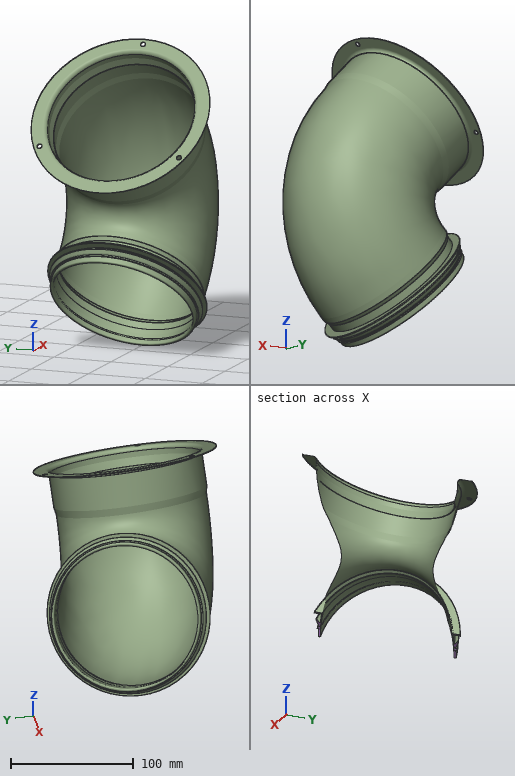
import cadquery as cq
import math

BEND_RADIUS = 77.7
BEND_ANGLE = 90
WALL = 0.5
DUCT_RADIUS = 124.0 / 2
DUCT_BORE = DUCT_RADIUS - WALL

SOCKET_RADIUS = 126.3 / 2
SOCKET_BORE = SOCKET_RADIUS - WALL
SOCKET_CONE_HEIGHT = 6.0
SOCKET_END = 33.9

FLANGE_RADIUS = 151.0 / 2
FLANGE_FACE = 37.5
SLEEVE_BORE = 124.0 / 2
SLEEVE_CONE_START = 29.0
SLEEVE_END = 22.5
SLEEVE_TIP_BORE = 120.5 / 2
FLARE_RADIUS = 3.5
FLARE_START = FLANGE_FACE - FLARE_RADIUS
HOLE_DIAMETER = 4.0
HOLE_CIRCLE_RADIUS = 70.5
HOLE_COUNT = 3

SPIGOT_RADIUS = 120.5 / 2
SPIGOT_BORE = 119.2 / 2
SHOULDER_HEIGHT = 5
SPIGOT_START = 8.5
SPIGOT_END = 30.3
RIM_RADIUS = 123.0 / 2
RIM_START = 25.2
RIM_BORE = 118.2 / 2
RIM_ROUND = 1.0
TAPER_START = 20.5

STRAP_RADIUS = 125.3 / 2
STRAP_START = 24.0

GASKET_START = 15.0
GASKET_RADIUS = 122.0 / 2
LONG_LIP_RADIUS = 134.5 / 2
LIP_THICKNESS = 1.0
SHORT_LIP_RADIUS = 129.5 / 2
SHORT_LIP_TIP = 19.0
SHORT_LIP_ROOT = 21.5
GASKET_CROWN_RADIUS = 62.7
GASKET_CROWN = 22.7


def end_plane(side):
    """Plane through an end of the bend: side +1 is the upper end, -1 the lower."""
    half_angle = math.radians(BEND_ANGLE / 2)
    across = cq.Vector(math.cos(half_angle), 0, side * math.sin(half_angle))
    return cq.Plane(origin=across * BEND_RADIUS, xDir=across, normal=(0, -side, 0))


UPPER_END = end_plane(1)
LOWER_END = end_plane(-1)


def turned(profile):
    """Revolve a closed profile about the axis of its duct end."""
    return profile.close().revolve(360, (0, 0), (0, 1))


def make_bend():
    return (
        cq.Workplane("XY")
        .center(BEND_RADIUS, 0)
        .circle(DUCT_RADIUS)
        .circle(DUCT_BORE)
        .revolve(BEND_ANGLE, (-BEND_RADIUS, 0), (-BEND_RADIUS, 1))
        .rotate((0, 0, 0), (0, 1, 0), -BEND_ANGLE / 2)
    )


def make_socket():
    return turned(
        cq.Workplane(UPPER_END)
        .moveTo(DUCT_BORE, 0)
        .lineTo(DUCT_RADIUS, 0)
        .lineTo(SOCKET_RADIUS, SOCKET_CONE_HEIGHT)
        .lineTo(SOCKET_RADIUS, SOCKET_END)
        .lineTo(SOCKET_BORE, SOCKET_END)
        .lineTo(SOCKET_BORE, SOCKET_CONE_HEIGHT)
    )


def make_spigot():
    spigot = turned(
        cq.Workplane(LOWER_END)
        .moveTo(DUCT_BORE, 0)
        .lineTo(DUCT_RADIUS, 0)
        .lineTo(DUCT_RADIUS, SHOULDER_HEIGHT)
        .lineTo(SPIGOT_RADIUS, SPIGOT_START)
        .lineTo(SPIGOT_RADIUS, RIM_START)
        .lineTo(RIM_RADIUS, RIM_START)
        .lineTo(RIM_RADIUS, SPIGOT_END)
        .lineTo(RIM_BORE, SPIGOT_END)
        .lineTo(SPIGOT_BORE, TAPER_START)
        .lineTo(SPIGOT_BORE, SPIGOT_START)
        .lineTo(DUCT_BORE, SHOULDER_HEIGHT)
    )
    end_edges = spigot.faces(cq.selectors.DirectionMinMaxSelector(LOWER_END.yDir)).edges()
    return end_edges.fillet(RIM_ROUND)


def make_elbow():
    return make_bend().union(make_socket()).union(make_spigot())


def make_flange():
    flare_centre = SLEEVE_BORE + FLARE_RADIUS
    inner_mid = FLARE_RADIUS * math.sqrt(0.5)
    outer_flare = flare_centre - SOCKET_BORE
    outer_mid = outer_flare * math.sqrt(0.5)
    flange_back = FLARE_START + outer_flare
    ring = turned(
        cq.Workplane(UPPER_END)
        .moveTo(SLEEVE_TIP_BORE, SLEEVE_END)
        .lineTo(SLEEVE_TIP_BORE + WALL, SLEEVE_END)
        .lineTo(SOCKET_BORE, SLEEVE_CONE_START)
        .lineTo(SOCKET_BORE, FLARE_START)
        .threePointArc((flare_centre - outer_mid, FLARE_START + outer_mid), (flare_centre, flange_back))
        .lineTo(FLANGE_RADIUS, flange_back)
        .lineTo(FLANGE_RADIUS, FLANGE_FACE)
        .lineTo(flare_centre, FLANGE_FACE)
        .threePointArc((flare_centre - inner_mid, FLARE_START + inner_mid), (SLEEVE_BORE, FLARE_START))
        .lineTo(SLEEVE_BORE, SLEEVE_CONE_START)
    )
    face_plane = cq.Plane(
        origin=UPPER_END.toWorldCoords((0, FLANGE_FACE)),
        xDir=UPPER_END.xDir,
        normal=UPPER_END.yDir,
    )
    holes = (
        cq.Workplane(face_plane)
        .polarArray(HOLE_CIRCLE_RADIUS, 0, 360, HOLE_COUNT)
        .circle(HOLE_DIAMETER / 2)
        .extrude(flange_back - FLANGE_FACE)
    )
    return ring.cut(holes)


def make_gasket():
    return turned(
        cq.Workplane(LOWER_END)
        .moveTo(SPIGOT_RADIUS, GASKET_START)
        .lineTo(LONG_LIP_RADIUS, GASKET_START)
        .lineTo(LONG_LIP_RADIUS, GASKET_START + LIP_THICKNESS)
        .lineTo(GASKET_RADIUS, GASKET_START + LIP_THICKNESS)
        .lineTo(GASKET_RADIUS, SHORT_LIP_ROOT)
        .lineTo(SHORT_LIP_RADIUS, SHORT_LIP_TIP)
        .lineTo(SHORT_LIP_RADIUS, SHORT_LIP_TIP + LIP_THICKNESS)
        .lineTo(GASKET_CROWN_RADIUS, GASKET_CROWN)
        .lineTo(GASKET_RADIUS, STRAP_START)
        .lineTo(SPIGOT_RADIUS, STRAP_START)
    )


def make_strap():
    return turned(
        cq.Workplane(LOWER_END)
        .moveTo(SPIGOT_RADIUS, STRAP_START)
        .lineTo(STRAP_RADIUS, STRAP_START)
        .lineTo(STRAP_RADIUS, RIM_START)
        .lineTo(SPIGOT_RADIUS, RIM_START)
    )


elbow = make_elbow()
flange = make_flange()
gasket = make_gasket()
strap = make_strap()
result = cq.Compound.makeCompound([elbow.val(), flange.val(), gasket.val(), strap.val()])